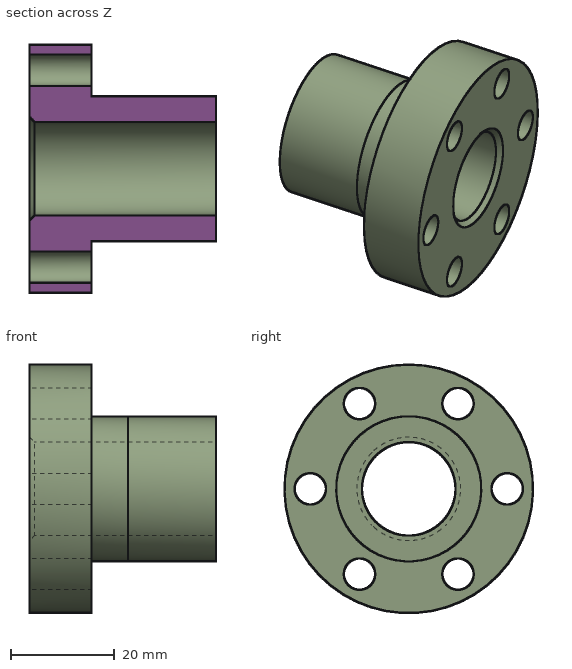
import cadquery as cq

flange_diameter = 48.0
flange_thickness = 12.0

barrel_diameter = 28.0
seat_oversize = 0.01
seat_diameter = barrel_diameter + seat_oversize
seat_length = 7.0
total_length = 36.0

bore_diameter = 18.0
bore_chamfer = 1.0

bolt_hole_count = 6
bolt_hole_diameter = 6.0
bolt_circle_diameter = 38.0

flange_face = cq.Plane(origin=(0, 0, 0), xDir=(0, 0, 1), normal=(1, 0, 0))


def axial_cylinder(diameter, length):
    """Solid cylinder from the flange face, extending toward +X."""
    return cq.Workplane(flange_face).circle(diameter / 2).extrude(length)


def body():
    """Flange, locating seat and barrel as one stepped solid."""
    flange = axial_cylinder(flange_diameter, flange_thickness)
    seat = axial_cylinder(seat_diameter, flange_thickness + seat_length)
    barrel = axial_cylinder(barrel_diameter, total_length)
    return flange.union(seat).union(barrel)


def bore_cutter():
    """Through bore with a conical lead-in at the flange face."""
    mouth_diameter = bore_diameter + 2 * bore_chamfer
    lead_in = (
        cq.Workplane(flange_face)
        .circle(mouth_diameter / 2)
        .workplane(offset=bore_chamfer)
        .circle(bore_diameter / 2)
        .loft(ruled=True)
    )
    return axial_cylinder(bore_diameter, total_length).union(lead_in)


def bolt_hole_cutters():
    """Ring of through holes in the flange; one pair lies on the Y axis."""
    start_angle = 90
    return (
        cq.Workplane(flange_face)
        .polarArray(bolt_circle_diameter / 2, start_angle, 360, bolt_hole_count)
        .circle(bolt_hole_diameter / 2)
        .extrude(flange_thickness)
    )


result = body().cut(bore_cutter()).cut(bolt_hole_cutters())